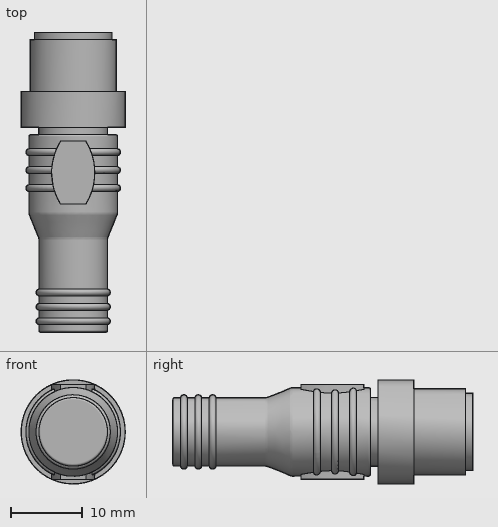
import cadquery as cq

total_length = 41.7

barrel_radius = 4.77
barrel_end_fillet = 0.3

cone_start = 13.05
cone_end = 16.5
cone_blend_radius = 0.8
grip_radius = 6.17
grip_end = 27.5
grip_fillet = 0.3

neck_radius = 4.8
collar_radius = 7.25
collar_start = 28.5
collar_length = 5.0
collar_end = collar_start + collar_length
plug_radius = 6.0
tip_radius = 5.4
tip_length = 1.0
plug_end = total_length - tip_length

rib_height = 0.4
rib_half_width = 0.48
barrel_rib_start = 1.55
barrel_rib_pitch = 2.0
grip_rib_start = 20.05
grip_rib_pitch = 2.5
ribs_per_group = 3

pad_center = 22.2
pad_length = 8.75
pad_end_width = 3.5
pad_middle_width = 6.0
pad_height = 6.6


def turned(profile):
    """Revolve a closed XY profile about the Y axis."""
    return profile.revolve(360, (0, 0, 0), (0, 1, 0))


def cylinder(radius, start, end):
    """Cylinder on the Y axis between two Y positions."""
    base = cq.Workplane("XZ", origin=(0, start, 0))
    return base.circle(radius).extrude(start - end)


def make_handle():
    """Barrel, cone and grip, with rounded ends and blended cone edges."""
    profile = (
        cq.Workplane("XY")
        .lineTo(barrel_radius, 0)
        .lineTo(barrel_radius, cone_start)
        .lineTo(grip_radius, cone_end)
        .lineTo(grip_radius, grip_end)
        .lineTo(0, grip_end)
        .close()
    )
    handle = turned(profile)
    handle = handle.faces("<Y").edges().fillet(barrel_end_fillet)
    handle = handle.faces(">Y").edges().fillet(grip_fillet)
    cone_edges = cq.selectors.BoxSelector(
        (-collar_radius, cone_start - cone_blend_radius, -collar_radius),
        (collar_radius, cone_end + cone_blend_radius, collar_radius),
        boundingbox=True,
    )
    return handle.edges(cone_edges).edges("%CIRCLE").fillet(cone_blend_radius)


def make_plug():
    """Neck, collar, plug body and tip."""
    neck = cylinder(neck_radius, grip_end, collar_start)
    collar = cylinder(collar_radius, collar_start, collar_end)
    plug = cylinder(plug_radius, collar_end, plug_end)
    tip = cylinder(tip_radius, plug_end, total_length)
    return neck.union(collar).union(plug).union(tip)


def add_ribs(body, surface_radius, start, pitch):
    """Add a group of rounded ribs around a cylindrical surface."""
    for index in range(ribs_per_group):
        center = start + index * pitch
        profile = (
            cq.Workplane("XY")
            .moveTo(0, center - rib_half_width)
            .lineTo(surface_radius, center - rib_half_width)
            .threePointArc(
                (surface_radius + rib_height, center),
                (surface_radius, center + rib_half_width),
            )
            .lineTo(0, center + rib_half_width)
            .close()
        )
        rib = turned(profile)
        body = body.union(rib)
    return body


def make_pads():
    """Opposite flat pads with straight ends and bowed sides."""
    half_length = pad_length / 2
    half_end = pad_end_width / 2
    half_middle = pad_middle_width / 2
    return (
        cq.Workplane("XY", origin=(0, pad_center, 0))
        .moveTo(-half_end, -half_length)
        .lineTo(half_end, -half_length)
        .threePointArc((half_middle, 0), (half_end, half_length))
        .lineTo(-half_end, half_length)
        .threePointArc((-half_middle, 0), (-half_end, -half_length))
        .close()
        .extrude(pad_height, both=True)
    )


body = make_handle().union(make_plug())
body = add_ribs(body, barrel_radius, barrel_rib_start, barrel_rib_pitch)
body = add_ribs(body, grip_radius, grip_rib_start, grip_rib_pitch)
result = body.union(make_pads())